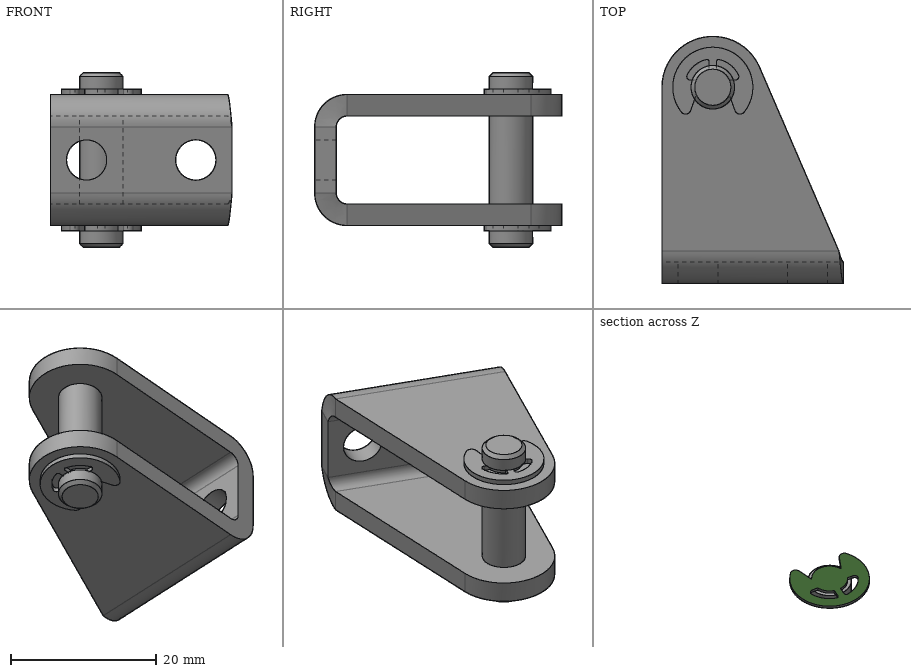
import cadquery as cq
import math

width = 25.0
length = 34.0
height = 18.05
wall = 3.0
bend_radius = 4.5
end_radius = 7.0
shoulder_x = 24.35

hole_diameter = 5.5
hole_positions = (5.0, 20.0)

pin_diameter = 6.0
pin_length = 24.0
pin_chamfer = 0.5
groove_diameter = 5.0
pin_x = end_radius
pin_y = length - end_radius

clip_thickness = 0.7
clip_radius = 5.5
mouth_side = (2.28, -1.05)
mouth_flare = 1.6 / 4.5
tip_radius = 0.75
slot_radius = 3.9
slot_side_gap = 0.5
slot_floor = 1.0
slot_top_round = 0.3
slot_low_round = 0.48

half_height = height / 2
inner_bend_radius = bend_radius - wall
bend_z = half_height - bend_radius


def flange():
    """Upper plate with one round end and a slanted side tangent to it."""
    dx = shoulder_x - pin_x
    dy = bend_radius - pin_y
    tangent_angle = math.atan2(dy, dx) + math.acos(end_radius / math.hypot(dx, dy))
    tangent_point = (
        pin_x + end_radius * math.cos(tangent_angle),
        pin_y + end_radius * math.sin(tangent_angle),
    )
    return (
        cq.Workplane("XY", origin=(0, 0, half_height - wall))
        .moveTo(0, bend_radius)
        .lineTo(shoulder_x, bend_radius)
        .lineTo(*tangent_point)
        .threePointArc((pin_x, length), (0, pin_y))
        .close()
        .extrude(wall)
    )


def bend():
    """Upper quarter bend whose end follows a helix from the flange to the web."""
    quarter = (
        cq.Workplane("YZ", origin=(0, bend_radius, bend_z))
        .circle(bend_radius)
        .circle(inner_bend_radius)
        .extrude(width)
        .intersect(cq.Workplane("XY").box(width, bend_radius, half_height, centered=False)
                   .translate((0, 0, bend_z)))
    )
    cutter_size = 2 * bend_radius
    trim = (
        cq.Workplane("YZ", origin=(shoulder_x, bend_radius, bend_z))
        .rect(cutter_size, cutter_size, centered=False)
        .twistExtrude(width - shoulder_x, 90)
    )
    return quarter.cut(trim)


def web():
    """Flat mounting wall with two round holes."""
    plate = cq.Workplane("XY").box(width, wall, 2 * bend_z, centered=(False, False, True))
    holes = (
        cq.Workplane("XZ")
        .pushPoints([(x, 0) for x in hole_positions])
        .circle(hole_diameter / 2)
        .extrude(-wall)
    )
    return plate.cut(holes)


def pin():
    """Chamfered pin with a clip groove beside each flange."""
    body = (
        cq.Workplane("XY")
        .circle(pin_diameter / 2)
        .extrude(pin_length / 2, both=True)
        .faces("<Z or >Z")
        .chamfer(pin_chamfer)
    )
    groove = (
        cq.Workplane("XY", origin=(0, 0, half_height))
        .circle(pin_diameter / 2)
        .circle(groove_diameter / 2)
        .extrude(clip_thickness)
    )
    return body.cut(groove).cut(groove.mirror("XY")).translate((pin_x, pin_y, 0))


def clip():
    """Upper retaining clip: a disc with a flared mouth and two curved slots."""
    mouth_x, mouth_y = mouth_side
    mouth_bottom = -clip_radius
    bottom_x = mouth_x + mouth_flare * (mouth_y - mouth_bottom)
    mouth = (
        cq.Workplane("XY")
        .polyline([(-bottom_x, mouth_bottom), (bottom_x, mouth_bottom),
                   (mouth_x, mouth_y), (-mouth_x, mouth_y)])
        .close()
        .extrude(clip_thickness)
    )
    disc = cq.Workplane("XY").circle(clip_radius).extrude(clip_thickness)
    body = disc.cut(mouth).edges("|Z").edges("<Y").fillet(tip_radius)

    slot = (
        cq.Workplane("XY")
        .circle(slot_radius)
        .extrude(clip_thickness)
        .intersect(cq.Workplane("XY", origin=(slot_side_gap, slot_floor, 0))
                   .rect(slot_radius, slot_radius, centered=False).extrude(clip_thickness))
        .edges("|Z and >Y").fillet(slot_top_round)
        .edges("|Z and >X").fillet(slot_low_round)
    )
    body = body.cut(slot).cut(slot.mirror("YZ"))
    return body.translate((pin_x, pin_y, half_height))


result = web().union(pin())
for upper_part in (bend(), flange(), clip()):
    result = result.union(upper_part).union(upper_part.mirror("XY"))